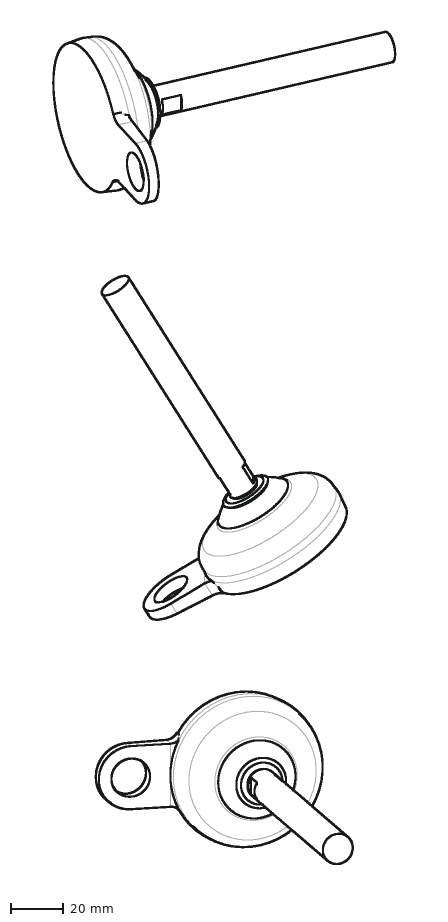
import cadquery as cq
import math


underside_radius = 29.3
rim_radius = 30.02
rim_height = 6.1
side_radius = 29.7
side_height = 9.0
shoulder_mid_radius = 28.5
shoulder_mid_height = 13.2
shoulder_radius = 25.5
shoulder_height = 15.6
lip_radius = 16.5
lip_height = 20.2
mouth_height = 21.2

overall_width = 88.0
tab_half_width = 12.5
tab_hole_radius = 7.5
tab_root_thickness = 6.0
tab_tip_thickness = 4.1
tab_root_fillet = 5.0
tab_tip_x = overall_width - rim_radius
tab_hole_x = tab_tip_x - tab_half_width

ball_radius = 19.8
ball_center_height = 8.8
mouth_radius = math.sqrt(ball_radius**2 - (mouth_height - ball_center_height)**2)

collar_base_radius = 9.3
collar_rim_radius = 10.0
collar_rim_height = 27.0
collar_top_radius = 8.3
collar_top_height = 27.8
collar_base_height = ball_center_height + math.sqrt(ball_radius**2 - collar_base_radius**2)

stem_radius = 6.0
stem_top = 128.0
stem_chamfer = 0.5
stem_shank_bottom = 28.5
flats_width = 10.0
flats_bottom = 30.0
flats_length = 8.0


def revolve_about_stem(profile):
    """Revolve a closed radius-height profile about the Y axis."""
    return profile.close().revolve(360, (0, 0, 0), (0, 1, 0))


def prism_along_y(outline, height):
    """Extrude an XZ outline upward from the underside."""
    return outline.extrude(-height)


def make_ball():
    """Upper half of the ball, cut off flat where the collar starts."""
    middle_angle = (math.asin(collar_base_radius / ball_radius) + math.pi / 2) / 2
    middle = (
        ball_radius * math.sin(middle_angle),
        ball_center_height + ball_radius * math.cos(middle_angle),
    )
    profile = (
        cq.Workplane("XY")
        .moveTo(0, ball_center_height)
        .lineTo(ball_radius, ball_center_height)
        .threePointArc(middle, (collar_base_radius, collar_base_height))
        .lineTo(0, collar_base_height)
    )
    return revolve_about_stem(profile)


def make_tab():
    """Round-ended tab, flared into the dish, whose top slopes down from root to tip."""
    wall_radius = (underside_radius + rim_radius) / 2
    fillet_center_z = tab_half_width + tab_root_fillet
    center_distance = wall_radius + tab_root_fillet
    dish_angle = math.asin(fillet_center_z / center_distance)
    fillet_center_x = center_distance * math.cos(dish_angle)
    dish_tangent_x = wall_radius * math.cos(dish_angle)
    dish_tangent_z = wall_radius * math.sin(dish_angle)
    middle_angle = (dish_angle + math.pi / 2) / 2
    fillet_mid_x = fillet_center_x - tab_root_fillet * math.cos(middle_angle)
    fillet_mid_z = fillet_center_z - tab_root_fillet * math.sin(middle_angle)
    blank = prism_along_y(
        cq.Workplane("XZ")
        .moveTo(0, 0)
        .lineTo(dish_tangent_x, -dish_tangent_z)
        .threePointArc((fillet_mid_x, -fillet_mid_z), (fillet_center_x, -tab_half_width))
        .lineTo(tab_hole_x, -tab_half_width)
        .threePointArc((tab_tip_x, 0), (tab_hole_x, tab_half_width))
        .lineTo(fillet_center_x, tab_half_width)
        .threePointArc((fillet_mid_x, fillet_mid_z), (dish_tangent_x, dish_tangent_z))
        .close(),
        rim_height,
    )
    side_shape = (
        cq.Workplane("XY")
        .polyline([
            (0, 0),
            (tab_tip_x, 0),
            (tab_tip_x, tab_tip_thickness),
            (rim_radius, tab_root_thickness),
            (0, tab_root_thickness),
        ])
        .close()
        .extrude(rim_radius, both=True)
    )
    return blank.intersect(side_shape)


def make_foot(ball):
    """Dish with its anchoring tab and the socket for the ball."""
    dish = revolve_about_stem(
        cq.Workplane("XY")
        .moveTo(0, 0)
        .lineTo(underside_radius, 0)
        .lineTo(rim_radius, rim_height)
        .lineTo(side_radius, side_height)
        .threePointArc(
            (shoulder_mid_radius, shoulder_mid_height), (shoulder_radius, shoulder_height)
        )
        .lineTo(lip_radius, lip_height)
        .lineTo(mouth_radius, mouth_height)
        .lineTo(0, mouth_height)
    )
    tab_hole = prism_along_y(
        cq.Workplane("XZ").center(tab_hole_x, 0).circle(tab_hole_radius), rim_height
    )
    return dish.union(make_tab()).cut(tab_hole).cut(ball)


def make_stem(ball):
    """Stem with its ball, sharp-rimmed collar and two wrench flats."""
    shank = revolve_about_stem(
        cq.Workplane("XY")
        .polyline([
            (0, collar_base_height),
            (collar_base_radius, collar_base_height),
            (collar_rim_radius, collar_rim_height),
            (collar_top_radius, collar_top_height),
            (stem_radius - stem_chamfer, collar_top_height),
            (stem_radius, stem_shank_bottom),
            (stem_radius, stem_top),
            (0, stem_top),
        ])
    )
    flat_depth = stem_radius - flats_width / 2
    for side in (-1, 1):
        flat_cut = cq.Workplane("XY").box(flat_depth, flats_length, 2 * stem_radius).translate(
            (side * (flats_width + flat_depth) / 2, flats_bottom + flats_length / 2, 0)
        )
        shank = shank.cut(flat_cut)
    return shank.union(ball)


ball = make_ball()
foot = make_foot(ball)
stem = make_stem(ball)

result = cq.Compound.makeCompound([foot.solids().val(), stem.solids().val()])